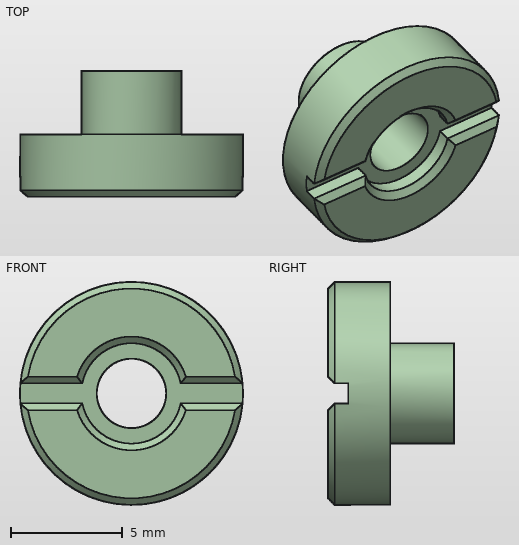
import cadquery as cq

head_diameter = 10.0
head_thickness = 2.8
boss_diameter = 4.5
boss_length = 2.85
bore_diameter = 3.1
recess_diameter = 4.5
recess_depth = 0.9
slot_width = 0.9
edge_break = 0.3

total_length = head_thickness + boss_length


def cylinder_along_y(diameter, y_start, length):
    """Cylinder centred on the Y axis, running from y_start toward +Y."""
    plane = cq.Plane(origin=(0, y_start, 0), xDir=(1, 0, 0), normal=(0, 1, 0))
    return cq.Workplane(plane).circle(diameter / 2).extrude(length)


def make_body():
    """Disc head, chamfered at its slotted face (y = 0), with a boss behind it."""
    head = cylinder_along_y(head_diameter, 0, head_thickness)
    head = head.faces("<Y").edges().chamfer(edge_break)
    boss = cylinder_along_y(boss_diameter, head_thickness, boss_length)
    return head.union(boss)


def make_recess():
    """Round recess with a chamfered mouth, as a cutter."""
    radius = recess_diameter / 2
    mouth_radius = radius + edge_break
    return (
        cq.Workplane("XY")
        .moveTo(0, 0)
        .lineTo(mouth_radius, 0)
        .lineTo(radius, edge_break)
        .lineTo(radius, recess_depth)
        .lineTo(0, recess_depth)
        .close()
        .revolve(360, (0, 0, 0), (0, 1, 0))
    )


def make_slot():
    """Slot along X across the whole head, with chamfered mouth edges, as a cutter."""
    half_width = slot_width / 2
    half_mouth = half_width + edge_break
    return (
        cq.Workplane("YZ")
        .moveTo(0, -half_mouth)
        .lineTo(edge_break, -half_width)
        .lineTo(recess_depth, -half_width)
        .lineTo(recess_depth, half_width)
        .lineTo(edge_break, half_width)
        .lineTo(0, half_mouth)
        .close()
        .extrude(head_diameter / 2, both=True)
    )


bore = cylinder_along_y(bore_diameter, 0, total_length)
result = make_body().cut(make_recess()).cut(make_slot()).cut(bore)